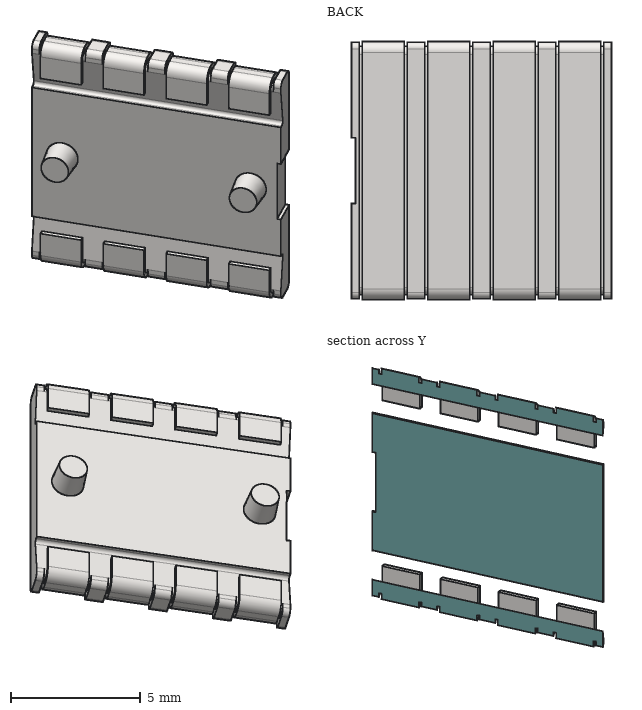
import cadquery as cq

plate_width = 10.06
plate_height = 9.94
plate_thickness = 1.12
plate_edge_radius = 0.25

relief_lip_z = 2.95
relief_start_z = 4.53
relief_depth = 0.28
relief_root_radius = 0.14

clip_count = 4
clip_pitch = 2.54
clip_width = 1.64
clip_thickness = 0.19
clip_height = 10.0
clip_front_radius = 0.45
clip_back_radius = 0.42
clip_leg_end_z = 3.55
clip_back_setback = 0.15

channel_width = 1.85
core_height = clip_height - 2 * clip_thickness
core_depth = plate_thickness - clip_back_setback - clip_thickness
core_front_radius = clip_front_radius - clip_thickness
core_back_radius = 0.3

peg_length = 1.0
peg_base_radius = 0.63
peg_tip_radius = 0.55

notch_depth = 0.15
notch_height = 2.54

clip_centers = [(i - (clip_count - 1) / 2) * clip_pitch for i in range(clip_count)]


def block(width, y_front, y_back, height, x_center=0.0):
    """Box centred on Z = 0, spanning y_front to y_back."""
    return (
        cq.Workplane("XY")
        .box(width, y_back - y_front, height)
        .translate((x_center, (y_front + y_back) / 2, 0))
    )


def rounded_block(width, y_front, y_back, height, front_radius, back_radius, x_center=0.0):
    """Box whose long top and bottom edges are rounded at the front and back."""
    solid = block(width, y_front, y_back, height, x_center)
    solid = solid.faces("<Y").edges("|X").fillet(front_radius)
    return solid.faces(">Y").edges("|X").fillet(back_radius)


def relief():
    """Cutter for the upper relief: square lip, rounded root, then a slope back to the face."""
    cutter = (
        cq.Workplane("YZ")
        .polyline([(0, relief_lip_z), (relief_depth, relief_lip_z), (0, relief_start_z)])
        .close()
        .extrude(plate_width / 2, both=True)
    )
    return cutter.edges(">Y").fillet(relief_root_radius)


def core(width, x_center):
    """Rounded bar of plate material that a clip wraps around."""
    return rounded_block(
        width, 0, core_depth, core_height, core_front_radius, core_back_radius, x_center
    )


def channel(x_center):
    """Cutter that clears the plate around the core of one clip."""
    return block(channel_width, 0, plate_thickness, plate_height, x_center).cut(
        core(channel_width, x_center)
    )


def clip(x_center):
    """Strap around the core with two short legs in front of the plate."""
    loop = rounded_block(
        clip_width, -clip_thickness, plate_thickness - clip_back_setback, clip_height,
        clip_front_radius, clip_back_radius, x_center,
    )
    front_opening = block(clip_width, -clip_thickness, 0, 2 * clip_leg_end_z, x_center)
    return loop.cut(core(clip_width, x_center)).cut(front_opening)


def peg(x_center):
    """Tapered round peg pointing toward -Y."""
    return cq.Workplane(
        cq.Solid.makeCone(
            peg_base_radius, peg_tip_radius, peg_length,
            pnt=cq.Vector(x_center, 0, 0), dir=cq.Vector(0, -1, 0),
        )
    )


upper_relief = relief()
plate = rounded_block(
    plate_width, 0, plate_thickness, plate_height, plate_edge_radius, plate_edge_radius
)
plate = plate.cut(upper_relief).cut(upper_relief.mirror("XY"))
for x in clip_centers:
    plate = plate.cut(channel(x))
notch_center_x = (plate_width - notch_depth) / 2
plate = plate.cut(block(notch_depth, 0, plate_thickness, notch_height, notch_center_x))

result = plate
for x in clip_centers:
    result = result.union(clip(x))
for x in (clip_centers[0], clip_centers[-1]):
    result = result.union(peg(x))